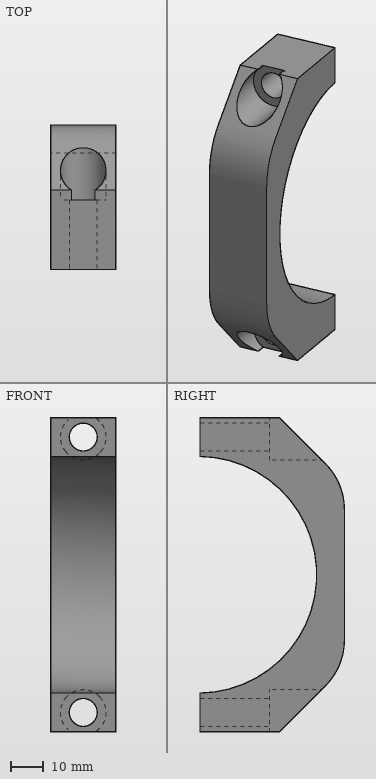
import cadquery as cq

WIDTH = 20.0
DEPTH = 44.5
HEIGHT = 96.7
BORE_RADIUS = 36.4
CLAMP_GAP = 0.5
CHAMFER = 20.0
BACK_RADIUS = 20.0
BOLT_DIAMETER = 8.5
BOLT_EDGE_DISTANCE = 6.0
BOLT_HEAD_DIAMETER = 14.0
BOLT_SEAT_Y = 21.4

HALF_HEIGHT = HEIGHT / 2
BOLT_Z = HALF_HEIGHT - BOLT_EDGE_DISTANCE


def clamp_body():
    """Half clamp with sloped, rounded back corners; mating face at Y = 0."""
    shoulder_y = DEPTH - CHAMFER
    back_z = HALF_HEIGHT - CHAMFER
    outline = [
        (0, -HALF_HEIGHT),
        (shoulder_y, -HALF_HEIGHT),
        (DEPTH, -back_z),
        (DEPTH, back_z),
        (shoulder_y, HALF_HEIGHT),
        (0, HALF_HEIGHT),
    ]
    body = cq.Workplane("YZ").polyline(outline).close().extrude(WIDTH / 2, both=True)
    body = body.faces(">Y").edges("|X").fillet(BACK_RADIUS)
    bore = (
        cq.Workplane("YZ")
        .center(-CLAMP_GAP, 0)
        .circle(BORE_RADIUS)
        .extrude(WIDTH, both=True)
    )
    return body.cut(bore)


def bolt_cutter(z):
    """Bolt hole along Y with a head recess open to the back."""
    hole = cq.Solid.makeCylinder(
        BOLT_DIAMETER / 2, DEPTH, cq.Vector(0, 0, z), cq.Vector(0, 1, 0)
    )
    head_recess = cq.Solid.makeCylinder(
        BOLT_HEAD_DIAMETER / 2,
        DEPTH - BOLT_SEAT_Y,
        cq.Vector(0, BOLT_SEAT_Y, z),
        cq.Vector(0, 1, 0),
    )
    return cq.Workplane(hole).union(cq.Workplane(head_recess))


result = clamp_body()
for bolt_z in (-BOLT_Z, BOLT_Z):
    result = result.cut(bolt_cutter(bolt_z))